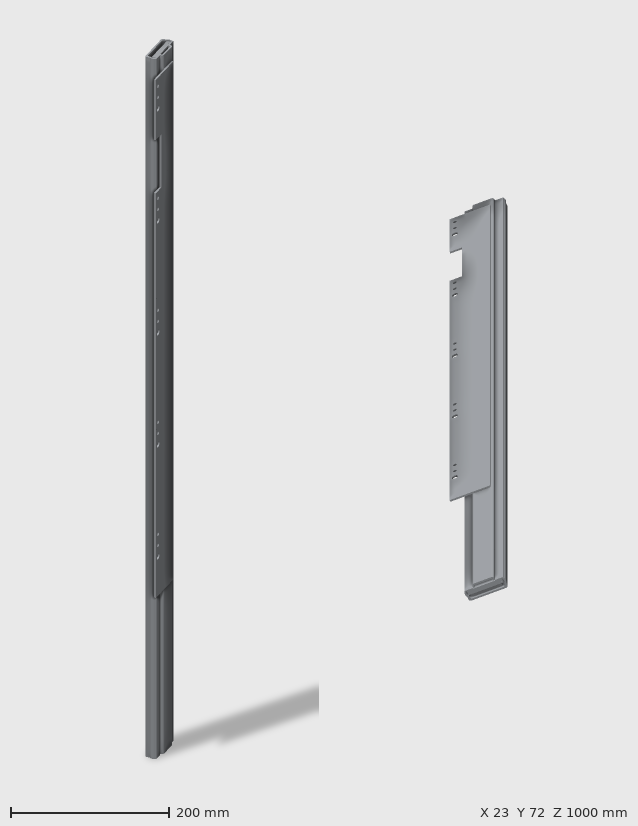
import cadquery as cq


length = 1000.0
overall_depth = 23.0
overall_width = 72.0
rail_mid_y = 44.0
wall = 2.5
bend_radius = 3.0
nested_radius = 1.0

leg_rim_x = 16.0
race_start_x = 7.0
race_end_x = 15.0
race_x = (race_start_x + race_end_x) / 2
race_height = 1.5
cabinet_half_width = overall_width - rail_mid_y - race_height

cage_web = 2.0
outer_cage_x = 8.5
outer_cage_half = cabinet_half_width - wall

middle_half = outer_cage_half - wall
middle_x = outer_cage_x + cage_web

inner_cage_half = middle_half - wall
inner_cage_x = middle_x + wall
drawer_half = 15.0
drawer_back_x = inner_cage_x + cage_web
drawer_front_x = overall_depth - wall
drawer_bottom = 2.0

screw_diameter = 9.0
screw_pair_pitch = 32.0
screw_pair_tops = [965.0, 741.0, 421.0, 133.0]
web_slot_z = 949.0
web_slot_length = 14.0
web_slot_width = 6.0

bracket_bottom = 240.0
bracket_top = 980.0
bracket_width = 55.0
notch_bottom = 818.0
notch_top = 894.0
notch_depth = 17.0
bracket_hole_y = 7.0
small_hole_diameter = 5.0
large_hole_diameter = 8.0
bracket_hole_pitch = 16.0
hole_group_pitch = 160.0
hole_group_count = 5
hole_group_top = 968.0

bumper_bottom = 4.0
bumper_half = 20.0
pad_inner = 4.0
pad_height = 10.0
tooth_width = 7.0
tooth_height = 4.0
catch_width = 8.0
catch_bottom = 19.0
catch_top = 23.0
groove_height = 2.0
groove_depth = 1.0
groove_count = 3


def block(x0, x1, y0, y1, z0, z1):
    """Box between two corners, with Y measured from the rails' middle plane."""
    return cq.Workplane("XY").box(x1 - x0, y1 - y0, z1 - z0, centered=False).translate(
        (x0, rail_mid_y + y0, z0)
    )


def x_holes(points, diameter, x_start, depth):
    """Cylinders along X at the given (Y, Z) points."""
    return (
        cq.Workplane("YZ", origin=(x_start, 0, 0)).pushPoints(points).circle(diameter / 2).extrude(depth)
    )


def plain_channel(back_x, half_width, web, leg):
    """U channel open toward +X, running the full length."""
    body = block(back_x, leg_rim_x, -half_width, half_width, 0, length)
    body = body.edges("|Z and <X").fillet(nested_radius)
    hollow = block(back_x + web, leg_rim_x, leg - half_width, half_width - leg, 0, length)
    return body.cut(hollow)


def race_profile(back_x, half_width):
    """Solid channel outline whose two legs bulge outward into ball races."""
    crest = half_width + race_height
    body = (
        cq.Workplane("XY", origin=(0, rail_mid_y, 0))
        .moveTo(back_x, -half_width)
        .lineTo(race_start_x, -half_width)
        .threePointArc((race_x, -crest), (race_end_x, -half_width))
        .lineTo(leg_rim_x, -half_width)
        .lineTo(leg_rim_x, half_width)
        .lineTo(race_end_x, half_width)
        .threePointArc((race_x, crest), (race_start_x, half_width))
        .lineTo(back_x, half_width)
        .close()
        .extrude(length)
    )
    return body.edges("|Z and <X").fillet(bend_radius)


def bumper_pads():
    """Toothed pads and the catch that fill the windows in the cabinet rail's web."""
    pad_top = bumper_bottom + pad_height
    tooth_top = pad_top + tooth_height
    catch_half = catch_width / 2
    pads = block(0, wall, -catch_half, catch_half, catch_bottom, catch_top)
    for low, high in ((-bumper_half, -pad_inner), (pad_inner, bumper_half)):
        pads = pads.union(block(0, wall, low, high, bumper_bottom, pad_top))
        for tooth_y in (low, high - tooth_width):
            pads = pads.union(block(0, wall, tooth_y, tooth_y + tooth_width, bumper_bottom, tooth_top))
    return pads


def make_cabinet_rail():
    """Outermost channel, with screw holes, a slot and bumper windows in its web."""
    rail = race_profile(0, cabinet_half_width).cut(race_profile(wall, cabinet_half_width - wall))
    screw_points = [
        (rail_mid_y, top - step * screw_pair_pitch) for top in screw_pair_tops for step in range(2)
    ]
    rail = rail.cut(x_holes(screw_points, screw_diameter, 0, wall))
    web_slot = (
        cq.Workplane("YZ", origin=(0, rail_mid_y, web_slot_z))
        .slot2D(web_slot_length, web_slot_width)
        .extrude(wall)
    )
    return rail.cut(web_slot).cut(bumper_pads())


def make_outer_cage():
    """Ball cage between the cabinet rail and the middle rail."""
    return plain_channel(outer_cage_x, outer_cage_half, cage_web, outer_cage_half - middle_half)


def make_middle_rail():
    """Channel nested between the two ball cages."""
    return plain_channel(middle_x, middle_half, wall, wall)


def make_inner_cage():
    """Ball cage between the middle rail and the drawer rail."""
    return plain_channel(inner_cage_x, inner_cage_half, cage_web, inner_cage_half - drawer_half)


def make_drawer_rail():
    """U channel open toward -X, facing into the middle rail."""
    inner_half = drawer_half - wall
    body = block(drawer_back_x, drawer_front_x, -drawer_half, drawer_half, drawer_bottom, length)
    body = body.edges("|Z and >X").fillet(bend_radius)
    hollow = block(drawer_back_x, drawer_front_x - wall, -inner_half, inner_half, drawer_bottom, length)
    return body.cut(hollow)


def make_bracket():
    """Flat plate on the drawer rail, notched along its free edge and drilled for screws."""
    plate_height = bracket_top - bracket_bottom
    plate = cq.Workplane("XY").box(wall, bracket_width, plate_height, centered=False)
    plate = plate.translate((drawer_front_x, 0, bracket_bottom))
    notch = cq.Workplane("XY").box(wall, notch_depth, notch_top - notch_bottom, centered=False)
    plate = plate.cut(notch.translate((drawer_front_x, 0, notch_bottom)))
    group_tops = [hole_group_top - group * hole_group_pitch for group in range(hole_group_count)]
    small_points = [
        (bracket_hole_y, top - step * bracket_hole_pitch) for top in group_tops for step in range(2)
    ]
    large_points = [(bracket_hole_y, top - 2 * bracket_hole_pitch) for top in group_tops]
    plate = plate.cut(x_holes(small_points, small_hole_diameter, drawer_front_x, wall))
    return plate.cut(x_holes(large_points, large_hole_diameter, drawer_front_x, wall))


def make_bumper():
    """Block behind the cabinet rail's web, with ribbed pads reaching through it."""
    body = block(wall, outer_cage_x, -bumper_half, bumper_half, bumper_bottom, catch_top)
    body = body.union(bumper_pads())
    for index in range(groove_count):
        groove_z = bumper_bottom + groove_height * (2 * index + 1)
        body = body.cut(
            block(0, groove_depth, -bumper_half, bumper_half, groove_z, groove_z + groove_height)
        )
    return body


cabinet_rail = make_cabinet_rail()
outer_cage = make_outer_cage()
middle_rail = make_middle_rail()
inner_cage = make_inner_cage()
drawer_rail = make_drawer_rail()
bracket = make_bracket()
bumper = make_bumper()

bodies = [cabinet_rail, outer_cage, middle_rail, inner_cage, drawer_rail, bracket, bumper]
result = cq.Compound.makeCompound([body.solids().val() for body in bodies])